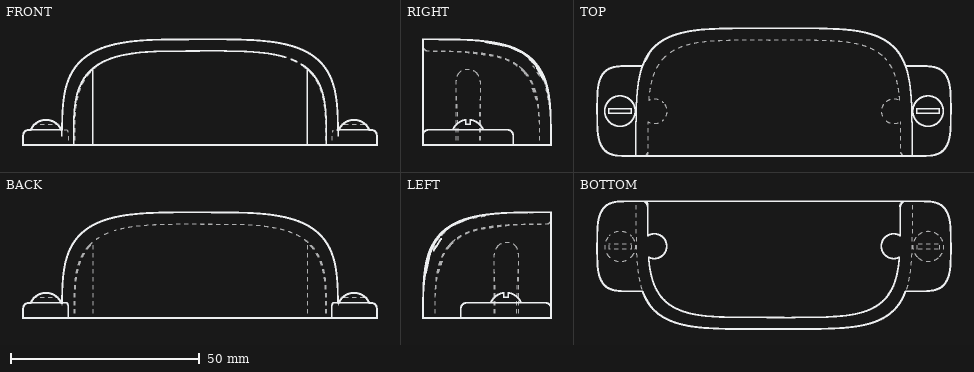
import math

import cadquery as cq

overall_length = 93.8
shell_half_width = 36.6
shell_depth = 34.0
shell_height = 28.0
wall = 3.1
plan_exponent = 4.6
profile_exponent = 3.75
rim_radius = 1.4

surface_tolerance = 0.001
steps_along = 60
steps_around = 30

tab_depth = 23.9
tab_thickness = 4.0
tab_corner_length = 8.9
tab_corner_exponent = 3.6
tab_edge_radius = 1.5
tab_corner_steps = 12

screw_x = 40.8
screw_head_diameter = 8.1
screw_head_height = 2.7
slot_width = 1.2
slot_depth = 1.2
post_x = 31.7
post_diameter = 6.6

tab_center_y = tab_depth / 2
tab_root_x = shell_half_width - 2 * wall
tab_corner_start = overall_length / 2 - tab_corner_length


def dome_point(theta, phi, half_width, depth, height):
    """Point of the dome surface in the direction theta from the X axis, phi up from the base."""
    x = math.cos(theta)
    y = math.sin(theta) * math.cos(phi)
    z = math.sin(theta) * math.sin(phi)
    plan = (abs(x) ** plan_exponent + abs(y) ** plan_exponent) ** (1 / plan_exponent)
    size = (plan ** profile_exponent + abs(z) ** profile_exponent) ** (1 / profile_exponent)
    return cq.Vector(x / size * half_width, y / size * depth, z / size * height)


def dome(half_width, depth, height):
    """Solid quarter dome whose flat sides lie on y = 0 and z = 0."""
    points = []
    for i in range(steps_along + 1):
        theta = math.pi * i / steps_along
        row = []
        for j in range(steps_around + 1):
            phi = math.pi / 2 * j / steps_around
            row.append(dome_point(theta, phi, half_width, depth, height))
        points.append(row)
    skin = cq.Face.makeSplineApprox(points, tol=surface_tolerance, minDeg=3, maxDeg=5)
    axis = cq.Edge.makeLine(cq.Vector(-half_width, 0, 0), cq.Vector(half_width, 0, 0))
    sides = []
    for edge in skin.Edges():
        if edge.geomType() == "BSPLINE" and edge.Length() > half_width:
            sides.append(cq.Face.makeFromWires(cq.Wire.assembleEdges([edge, axis])))
    return cq.Workplane(obj=cq.Solid.makeSolid(cq.Shell.makeShell([skin] + sides)))


def tab(side):
    """Mounting tab on the given side (-1 or 1), with a rounded end and a rounded top edge."""
    power = 2 / tab_corner_exponent
    end_points = []
    for i in range(2 * tab_corner_steps + 1):
        angle = math.pi / 2 * (i / tab_corner_steps - 1)
        x = tab_corner_start + tab_corner_length * math.cos(angle) ** power
        y = tab_center_y + math.copysign(tab_center_y * abs(math.sin(angle)) ** power, angle)
        end_points.append((side * x, y))
    return (
        cq.Workplane()
        .moveTo(side * tab_root_x, 0)
        .lineTo(*end_points[0])
        .spline(end_points[1:], tangents=[(side, 0), (-side, 0)], includeCurrent=True)
        .lineTo(side * tab_root_x, tab_depth)
        .close()
        .extrude(tab_thickness)
    )


def screw_head(side):
    """Slotted dome head sitting on a tab."""
    radius = screw_head_diameter / 2
    sphere_radius = (radius**2 + screw_head_height**2) / (2 * screw_head_height)
    top = tab_thickness + screw_head_height
    ball = cq.Workplane().sphere(sphere_radius).translate((0, 0, top - sphere_radius))
    cap_height = top - tab_thickness / 2
    cap = (
        cq.Workplane()
        .workplane(offset=tab_thickness / 2)
        .circle(radius)
        .extrude(cap_height)
        .intersect(ball)
    )
    slot = cq.Workplane().box(screw_head_diameter, slot_width, 2 * slot_depth).translate((0, 0, top))
    return cap.cut(slot).translate((side * screw_x, tab_center_y, 0))


outer = dome(shell_half_width, shell_depth, shell_height)
cavity = dome(shell_half_width - wall, shell_depth - wall, shell_height - wall)

shell = outer.cut(cavity)
opening_edges = shell.faces("<Y").edges("%BSPLINE").vals()
inner_rim = min(opening_edges, key=lambda edge: edge.Length())
result = shell.newObject([inner_rim]).fillet(rim_radius)

for side in (-1, 1):
    rounded_tab = tab(side).faces(">Z").edges().fillet(tab_edge_radius)
    result = result.union(rounded_tab.cut(outer))
    result = result.union(screw_head(side))
    post = (
        cq.Workplane()
        .center(side * post_x, tab_center_y)
        .circle(post_diameter / 2)
        .extrude(shell_height)
        .intersect(outer)
    )
    result = result.union(post)